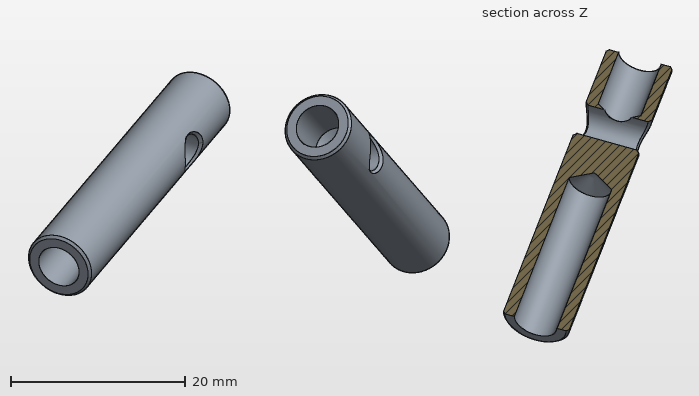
import cadquery as cq
import math

length = 38.1
pin_diameter = 8.0
end_chamfer = 0.3
cross_hole_diameter = 4.0
cross_hole_from_back = 10.02
cross_hole_chamfer = 0.4
bore_diameter = 5.1
front_bore_depth = 20.0
back_bore_depth = 7.43
drill_point_angle = 118.0

front_y = -length / 2
back_y = length / 2
cross_hole_y = back_y - cross_hole_from_back


def make_pin():
    """Round pin along Y with both end edges chamfered."""
    pin = cq.Workplane("XZ", origin=(0, back_y, 0)).circle(pin_diameter / 2).extrude(length)
    return pin.faces("<Y or >Y").edges().chamfer(end_chamfer)


def cut_cross_hole(pin):
    """Through hole along X with both of its rims chamfered."""
    drill = (
        cq.Workplane("YZ", origin=(-pin_diameter / 2, cross_hole_y, 0))
        .circle(cross_hole_diameter / 2)
        .extrude(pin_diameter)
    )
    half_width = cross_hole_diameter
    rim_region = cq.selectors.BoxSelector(
        (-pin_diameter, cross_hole_y - half_width, -half_width),
        (pin_diameter, cross_hole_y + half_width, half_width),
        boundingbox=True,
    )
    rims = pin.cut(drill).edges(rim_region)
    return rims.chamfer(cross_hole_chamfer)


def make_bore(end_y, depth, inward):
    """Blind drilled bore from one end; inward is +1 or -1 along Y, towards its conical point."""
    radius = bore_diameter / 2
    tip_length = radius / math.tan(math.radians(drill_point_angle / 2))
    bottom_y = end_y + inward * depth
    return (
        cq.Workplane("XY")
        .moveTo(0, end_y)
        .lineTo(radius, end_y)
        .lineTo(radius, bottom_y)
        .lineTo(0, bottom_y + inward * tip_length)
        .close()
        .revolve(360, (0, 0, 0), (0, 1, 0))
    )


drilled_pin = cut_cross_hole(make_pin())
front_bore = make_bore(front_y, front_bore_depth, 1)
back_bore = make_bore(back_y, back_bore_depth, -1)
result = drilled_pin.cut(front_bore).cut(back_bore)